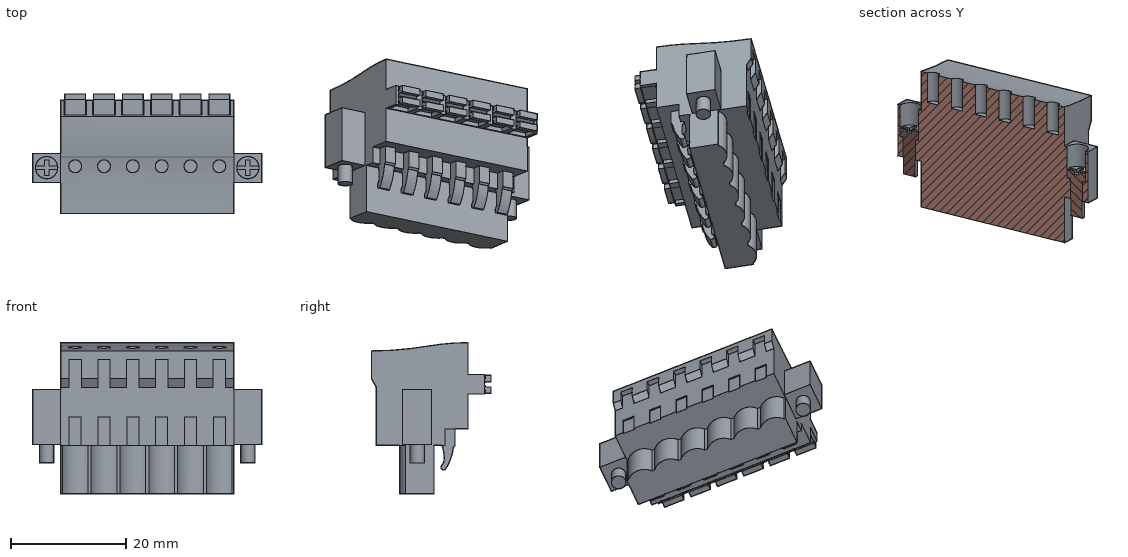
import cadquery as cq


POLES = 6
BODY_WIDTH = 30.0
PITCH = BODY_WIDTH / POLES
POLE_X = [(i - (POLES - 1) / 2) * PITCH for i in range(POLES)]

BODY_BACK = 16.8
BODY_BOTTOM = 8.4
BACK_TOP = 26.23
FRONT_TOP = 24.8
CREST_Y = 9.85
CREST_Z = 25.65
LIP_Z = 19.98
LOWER_FRONT_Z = 18.45
LOWER_FRONT_Y = 0.85
STEP_Y = 12.8
STEP_Z = 11.25

SLOT_WIDTH = 2.15
UPPER_SLOT_TOP = 23.25
LOWER_SLOT_WIDTH = 2.05
LOWER_SLOT_TOP = 13.35
LOWER_SLOT_DEPTH = 0.2
WIRE_HOLE_DIAMETER = 2.23
WIRE_HOLE_Y = 8.2
WIRE_HOLE_FLOOR = 19.9
BARREL_WIDTH = 4.45
BARREL_FRONT = 4.9
BARREL_WEB_FRONT = 5.9
BARREL_BACK = 10.9

HOOK_WIDTH = 2.05
HOOK_BACK = 14.53
HOOK_SHOULDER = (14.25, 8.05)
HOOK_BACK_MIDDLE = (13.77, 6.0)
HOOK_TIP_BACK = (12.8, 4.15)
HOOK_TIP_MIDDLE = (12.25, 4.2)
HOOK_TIP_FRONT = (12.05, 4.75)
HOOK_NOSE_TOP = (12.55, 5.45)
HOOK_FRONT_MIDDLE = (12.58, 6.95)
HOOK_ROOT_FRONT = 12.2

SHELF_BACK = 19.65
SHELF_BOTTOM = 17.27
SHELF_TOP = 20.7
LEVER_Z = (SHELF_BOTTOM + SHELF_TOP) / 2
POCKET_WIDTH = 3.85
POCKET_FRONT = 17.1
LEVER_WIDTH = 3.65
LEVER_NECK_HEIGHT = 2.0
LEVER_HEAD_HEIGHT = 3.15
LEVER_HEAD_FRONT = 19.8
LEVER_BACK = 20.78
NOTCH_HALF_HEIGHT = 0.45
NOTCH_STRAIGHT_END = 19.9

OVERALL_WIDTH = 39.8
FLANGE_FRONT = 5.37
FLANGE_BACK = 10.43
FLANGE_BOTTOM = 8.5
FLANGE_TOP = 18.1
FLANGE_WIDTH = (OVERALL_WIDTH - BODY_WIDTH) / 2
FLANGE_X = (OVERALL_WIDTH + BODY_WIDTH) / 4
SCREW_Y = 7.95
HEAD_DIAMETER = 3.85
HEAD_SEAT_Z = 12.35
HEAD_HEIGHT = 1.6
SHANK_DIAMETER = 2.5
SHANK_TIP_Z = 5.37
DRIVE_DEPTH = 0.6
DRIVE_SLOT_WIDTH = 0.65
DRIVE_CROSS_WIDTH = 0.8
DRIVE_CROSS_LENGTH = 2.7


def block(x_range, y_range, z_range):
    """Box given by its limits along each axis."""
    lower, upper = zip(x_range, y_range, z_range)
    size = [b - a for a, b in zip(lower, upper)]
    return cq.Workplane("XY").box(*size, centered=False).translate(lower)


def strip(x, width):
    """Limits along X of a feature of the given width centred on x."""
    return (x - width / 2, x + width / 2)


def post(x, y, z_bottom, z_top, diameter):
    """Vertical cylinder."""
    return cq.Workplane("XY", origin=(x, y, z_bottom)).circle(diameter / 2).extrude(z_top - z_bottom)


def across(profile, x, width):
    """Extrude a closed YZ profile symmetrically about the plane at x."""
    return profile.extrude(width / 2, both=True).translate((x, 0, 0))


def main_body():
    """Block with the S-curved top and the undercut front lip."""
    back_middle = ((BODY_BACK + CREST_Y) / 2, BACK_TOP - (BACK_TOP - CREST_Z) / 4)
    profile = (
        cq.Workplane("YZ")
        .moveTo(LOWER_FRONT_Y, BODY_BOTTOM)
        .lineTo(STEP_Y, BODY_BOTTOM)
        .lineTo(STEP_Y, STEP_Z)
        .lineTo(BODY_BACK, STEP_Z)
        .lineTo(BODY_BACK, BACK_TOP)
        .threePointArc(back_middle, (CREST_Y, CREST_Z))
        .tangentArcPoint((0, FRONT_TOP), relative=False)
        .lineTo(0, LIP_Z)
        .lineTo(LOWER_FRONT_Y, LOWER_FRONT_Z)
        .close()
    )
    return across(profile, 0, BODY_WIDTH)


def plug_barrels():
    """Row of round-fronted barrels joined by narrow flat webs."""
    half = BODY_WIDTH / 2
    outline = cq.Workplane("XY").moveTo(-half, BARREL_BACK).lineTo(-half, BARREL_WEB_FRONT)
    for x in POLE_X:
        left, right = strip(x, BARREL_WIDTH)
        outline = outline.lineTo(left, BARREL_WEB_FRONT)
        outline = outline.threePointArc((x, BARREL_FRONT), (right, BARREL_WEB_FRONT))
    outline = outline.lineTo(half, BARREL_WEB_FRONT).lineTo(half, BARREL_BACK).close()
    return outline.extrude(BODY_BOTTOM)


def latch_hook(x):
    """Curved finger hanging from the cut-out at the lower back edge."""
    profile = (
        cq.Workplane("YZ")
        .moveTo(STEP_Y, STEP_Z)
        .lineTo(HOOK_BACK, STEP_Z)
        .lineTo(HOOK_BACK, BODY_BOTTOM)
        .lineTo(*HOOK_SHOULDER)
        .threePointArc(HOOK_BACK_MIDDLE, HOOK_TIP_BACK)
        .threePointArc(HOOK_TIP_MIDDLE, HOOK_TIP_FRONT)
        .lineTo(*HOOK_NOSE_TOP)
        .threePointArc(HOOK_FRONT_MIDDLE, (HOOK_ROOT_FRONT, BODY_BOTTOM))
        .lineTo(STEP_Y, BODY_BOTTOM)
        .close()
    )
    return across(profile, x, HOOK_WIDTH)


def screw_hole(x):
    """Counterbored hole for a flange screw."""
    bore = post(x, SCREW_Y, FLANGE_BOTTOM, FLANGE_TOP, SHANK_DIAMETER)
    return bore.union(post(x, SCREW_Y, HEAD_SEAT_Z, FLANGE_TOP, HEAD_DIAMETER))


def pole_cuts(x):
    """Front slots, wire hole and lever pocket of one pole."""
    upper_slot = block(strip(x, SLOT_WIDTH), (0, LOWER_FRONT_Y), (LOWER_FRONT_Z, UPPER_SLOT_TOP))
    lower_slot = block(
        strip(x, LOWER_SLOT_WIDTH),
        (LOWER_FRONT_Y, LOWER_FRONT_Y + LOWER_SLOT_DEPTH),
        (BODY_BOTTOM, LOWER_SLOT_TOP),
    )
    wire_hole = post(x, WIRE_HOLE_Y, WIRE_HOLE_FLOOR, BACK_TOP, WIRE_HOLE_DIAMETER)
    pocket = block(strip(x, POCKET_WIDTH), (POCKET_FRONT, SHELF_BACK), (SHELF_BOTTOM, SHELF_TOP))
    return [upper_slot, lower_slot, wire_hole, pocket]


def make_housing():
    shelf = block(strip(0, BODY_WIDTH), (BODY_BACK, SHELF_BACK), (SHELF_BOTTOM, SHELF_TOP))
    housing = main_body().union(shelf).union(plug_barrels())
    for x in (-FLANGE_X, FLANGE_X):
        flange = block(
            strip(x, FLANGE_WIDTH), (FLANGE_FRONT, FLANGE_BACK), (FLANGE_BOTTOM, FLANGE_TOP)
        )
        housing = housing.union(flange).cut(screw_hole(x))
    for x in POLE_X:
        housing = housing.union(latch_hook(x))
        for cutter in pole_cuts(x):
            housing = housing.cut(cutter)
    return housing


def make_screw(x):
    """Screw with a full slot and a shorter cross bar in its head."""
    head_top = HEAD_SEAT_Z + HEAD_HEIGHT
    drive_z = (head_top - DRIVE_DEPTH, head_top)
    half_slot = DRIVE_SLOT_WIDTH / 2
    half_cross = DRIVE_CROSS_LENGTH / 2
    head = post(x, SCREW_Y, HEAD_SEAT_Z, head_top, HEAD_DIAMETER)
    shank = post(x, SCREW_Y, SHANK_TIP_Z, HEAD_SEAT_Z, SHANK_DIAMETER)
    slot = block(strip(x, HEAD_DIAMETER), (SCREW_Y - half_slot, SCREW_Y + half_slot), drive_z)
    cross = block(
        strip(x, DRIVE_CROSS_WIDTH), (SCREW_Y - half_cross, SCREW_Y + half_cross), drive_z
    )
    return head.union(shank).cut(slot).cut(cross)


def make_lever(x):
    """T-shaped lever: neck in the shelf pocket, notched head behind the shelf."""
    half_neck = LEVER_NECK_HEIGHT / 2
    half_head = LEVER_HEAD_HEIGHT / 2
    width = strip(x, LEVER_WIDTH)
    neck = block(width, (POCKET_FRONT, LEVER_HEAD_FRONT), (LEVER_Z - half_neck, LEVER_Z + half_neck))
    head = block(width, (LEVER_HEAD_FRONT, LEVER_BACK), (LEVER_Z - half_head, LEVER_Z + half_head))
    notch_bottom = LEVER_Z - NOTCH_HALF_HEIGHT
    notch_top = LEVER_Z + NOTCH_HALF_HEIGHT
    notch_profile = (
        cq.Workplane("YZ")
        .moveTo(LEVER_BACK, notch_bottom)
        .lineTo(LEVER_BACK, notch_top)
        .lineTo(NOTCH_STRAIGHT_END, notch_top)
        .lineTo(NOTCH_STRAIGHT_END - NOTCH_HALF_HEIGHT, LEVER_Z)
        .lineTo(NOTCH_STRAIGHT_END, notch_bottom)
        .close()
    )
    return neck.union(head).cut(across(notch_profile, x, LEVER_WIDTH))


housing = make_housing()
screws = [make_screw(x) for x in (-FLANGE_X, FLANGE_X)]
levers = [make_lever(x) for x in POLE_X]

result = cq.Compound.makeCompound([
    housing.val(),
    *[screw.val() for screw in screws],
    *[lever.val() for lever in levers],
])